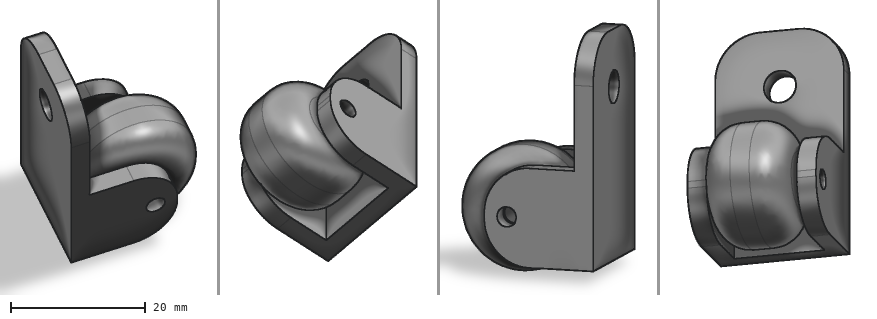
import cadquery as cq

bracket_width = 20.0
bracket_height = 34.95
wall = 3.0
corner_radius = 7.0
ear_length = 17.0
ear_height = 15.0
mount_hole_diameter = 5.0
mount_hole_x = -0.07
mount_hole_drop = 8.75

wheel_diameter = 19.0
wheel_width = 12.97
wheel_offset = 0.07
tread_width = 3.0
axle_hole_diameter = 3.0
axle_y = 13.53
axle_z = ear_height / 2
shoulder_radius = (wheel_width - tread_width) / 2


def make_back_plate():
    plate = (
        cq.Workplane("XY")
        .box(bracket_width, wall, bracket_height, centered=(True, False, False))
        .edges("|Y and >Z")
        .fillet(corner_radius)
    )
    mount_hole = (
        cq.Workplane("XZ")
        .center(mount_hole_x, bracket_height - mount_hole_drop)
        .circle(mount_hole_diameter / 2)
        .extrude(-wall)
    )
    return plate.cut(mount_hole)


def make_ear(start_x):
    """Side ear with a rounded tip, spanning one wall thickness from start_x."""
    return (
        cq.Workplane("XY")
        .box(wall, ear_length, ear_height, centered=False)
        .edges("|X and >Y")
        .fillet(corner_radius)
        .translate((start_x, 0, 0))
    )


def make_bracket():
    bracket = make_back_plate()
    for start_x in (-bracket_width / 2, bracket_width / 2 - wall):
        bracket = bracket.union(make_ear(start_x))
    axle_hole = (
        cq.Workplane("YZ", origin=(-bracket_width / 2, axle_y, axle_z))
        .circle(axle_hole_diameter / 2)
        .extrude(bracket_width)
    )
    return bracket.cut(axle_hole)


def make_wheel():
    """Wheel with rounded shoulders and a through bore for the axle."""
    return (
        cq.Workplane("YZ", origin=(wheel_offset - wheel_width / 2, axle_y, axle_z))
        .circle(wheel_diameter / 2)
        .extrude(wheel_width)
        .edges()
        .fillet(shoulder_radius)
        .faces("<X")
        .workplane(origin=(0, axle_y, axle_z))
        .hole(axle_hole_diameter)
    )


bracket = make_bracket()
wheel = make_wheel()
result = cq.Compound.makeCompound([bracket.val(), wheel.val()])